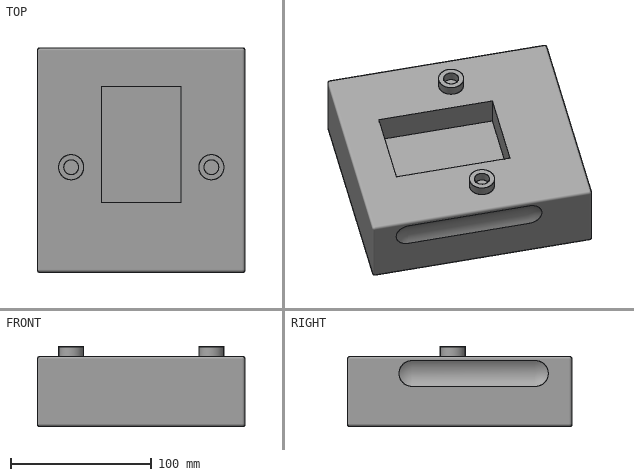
import cadquery as cq

block_width = 148.0
block_length = 160.0
total_height = 57.0
boss_height = 6.9
block_height = total_height - boss_height
edge_radius = 2.0

pocket_width = 56.8
pocket_length = 82.9
pocket_depth = 21.0
pocket_center_y = 11.2

boss_diameter = 18.0
boss_hole_diameter = 10.5
boss_hole_depth = boss_height
boss_spacing = 99.8
boss_y = -5.0

grip_radius = 16.0
grip_depth = 2.9
grip_straight_length = 88.0
grip_center_y = 10.0
grip_center_z = 38.0


def make_block():
    block = cq.Workplane("XY").box(block_width, block_length, block_height, centered=(True, True, False))
    return block.edges().fillet(edge_radius)


def make_pocket():
    return (
        cq.Workplane("XY", origin=(0, pocket_center_y, block_height - pocket_depth))
        .rect(pocket_width, pocket_length)
        .extrude(pocket_depth)
    )


def make_boss_cylinders(diameter, bottom_z):
    """Pair of upright cylinders reaching the top of the bosses."""
    half_spacing = boss_spacing / 2
    return (
        cq.Workplane("XY", origin=(0, boss_y, bottom_z))
        .pushPoints([(-half_spacing, 0), (half_spacing, 0)])
        .circle(diameter / 2)
        .extrude(total_height - bottom_z)
    )


def make_grip(side):
    """Cylinder with ball ends, its axis lying outside the side face."""
    axis_x = side * (block_width / 2 + grip_radius - grip_depth)
    half_straight = grip_straight_length / 2
    grip = (
        cq.Workplane("XZ", origin=(axis_x, grip_center_y, grip_center_z))
        .circle(grip_radius)
        .extrude(half_straight, both=True)
    )
    for end in (-1, 1):
        ball_y = grip_center_y + end * half_straight
        ball = cq.Workplane("XY").sphere(grip_radius).translate((axis_x, ball_y, grip_center_z))
        grip = grip.union(ball)
    return grip


result = make_block().cut(make_pocket())
result = result.union(make_boss_cylinders(boss_diameter, block_height))
result = result.cut(make_boss_cylinders(boss_hole_diameter, total_height - boss_hole_depth))
for grip_side in (-1, 1):
    result = result.cut(make_grip(grip_side))